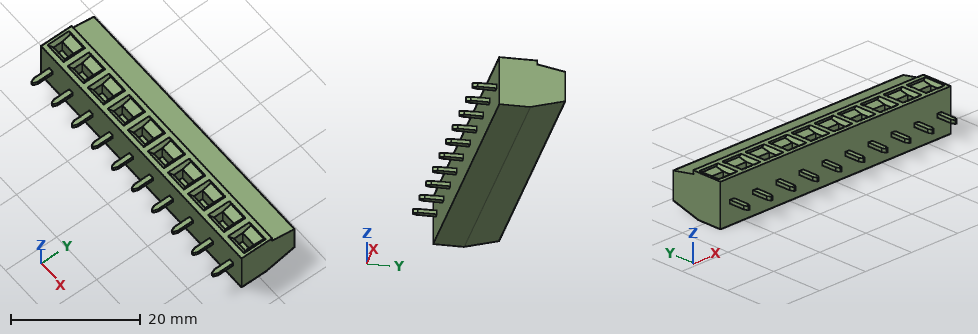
import cadquery as cq


pole_count = 10
pitch = 5.0
length = pole_count * pitch

depth = 10.4
height = 8.1
top_deck_depth = 6.0
deck_step = 0.65
back_top_drop = 1.5
bottom_flat_depth = 4.85
back_bottom_rise = 1.55

pocket_width = 4.0
pocket_front = 0.9
pocket_back = 5.1
side_inset = 0.6
front_inset = 0.7
funnel_depth = 0.6
ledge_back_depth = 0.4
well_back = 3.3
well_floor_depth = 3.0

pin_width = 0.9
pin_thickness = 0.65
pin_length = 3.7
pin_tip_width = 0.35
pin_tip_length = 0.7
pin_axis_height = height / 2
pin_embed = 0.5


def make_housing():
    """Extrude the stepped and tapered cross-section along X."""
    profile = [
        (0, 0),
        (bottom_flat_depth, 0),
        (depth, back_bottom_rise),
        (depth, height - back_top_drop),
        (top_deck_depth, height - deck_step),
        (top_deck_depth, height),
        (0, height),
    ]
    return cq.Workplane("YZ").polyline(profile).close().extrude(length)


def make_funnel(center_x):
    """Pocket with three leaning walls, an upright back wall and a sloped ledge."""
    taper_length = pocket_back - pocket_front
    floor_length = taper_length - front_inset
    funnel = (
        cq.Workplane("XY", origin=(center_x, pocket_back, height))
        .center(0, -taper_length / 2)
        .rect(pocket_width, taper_length)
        .workplane(offset=-funnel_depth)
        .center(0, front_inset / 2)
        .rect(pocket_width - 2 * side_inset, floor_length)
        .loft(ruled=True)
    )
    ledge = (
        cq.Workplane("YZ", origin=(center_x, 0, height))
        .polyline([
            (well_back, -funnel_depth),
            (pocket_back, -funnel_depth),
            (pocket_back, -ledge_back_depth),
        ])
        .close()
        .extrude(pocket_width / 2, both=True)
    )
    return funnel.cut(ledge)


def make_well(center_x):
    """Straight-sided well below the funnel, in front of the ledge."""
    well_front = pocket_front + front_inset
    return cq.Workplane("XY").box(
        pocket_width - 2 * side_inset,
        well_back - well_front,
        well_floor_depth - funnel_depth,
        centered=(True, False, False),
    ).translate((center_x, well_front, height - well_floor_depth))


def make_pin(center_x):
    """Flat pin pointing to -Y, narrowed in width towards its tip."""
    shoulder = pin_tip_length - pin_length
    outline = [
        (-pin_width / 2, pin_embed),
        (-pin_width / 2, shoulder),
        (-pin_tip_width / 2, -pin_length),
        (pin_tip_width / 2, -pin_length),
        (pin_width / 2, shoulder),
        (pin_width / 2, pin_embed),
    ]
    return (
        cq.Workplane("XY", origin=(center_x, 0, pin_axis_height))
        .polyline(outline)
        .close()
        .extrude(pin_thickness / 2, both=True)
    )


result = make_housing()
for pole in range(pole_count):
    pole_x = (pole + 0.5) * pitch
    result = result.cut(make_funnel(pole_x))
    result = result.cut(make_well(pole_x))
    result = result.union(make_pin(pole_x))